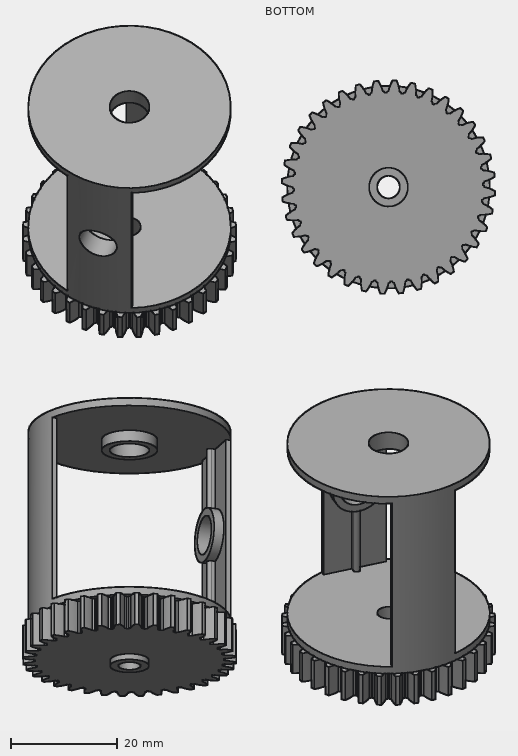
import math

import cadquery as cq

TOOTH_COUNT = 36
PITCH_DIAMETER = 38.1
PRESSURE_ANGLE = math.radians(20)
DEDENDUM_FACTOR = 1.25
ROOT_FILLET = 0.38
FIRST_TOOTH_ANGLE = math.radians(3.3)
GEAR_THICKNESS = 6.35
FLANK_POINTS = 5

MODULE = PITCH_DIAMETER / TOOTH_COUNT
PITCH_RADIUS = PITCH_DIAMETER / 2
BASE_RADIUS = PITCH_RADIUS * math.cos(PRESSURE_ANGLE)
TIP_RADIUS = PITCH_RADIUS + MODULE
ROOT_RADIUS = PITCH_RADIUS - DEDENDUM_FACTOR * MODULE

FLANK_START_RADIUS = math.hypot(
    BASE_RADIUS,
    math.sqrt((ROOT_RADIUS + ROOT_FILLET) ** 2 - BASE_RADIUS**2) - ROOT_FILLET,
)

SPIGOT_DIAMETER = 7.3
SPIGOT_LENGTH = 1.12
SHAFT_BORE_DIAMETER = 4.2

PLATE_DIAMETER = 38.12
PLATE_THICKNESS = 1.55
OVERALL_HEIGHT = 46.77
POST_WIDTH = 12.7
POST_INNER_Y = 17.0

RIB_WIDTH = 1.3
RIB_TIP_Y = 15.55

BOSS_DIAMETER = 10.45
BEARING_BORE_DIAMETER = 7.45
TOP_BOSS_HEIGHT = 2.15
SIDE_BOSS_INNER_Y = 15.05
SIDE_BORE_DEPTH_BELOW_TOP = 18.75

GEAR_BOTTOM_Z = SPIGOT_LENGTH
CAGE_BOTTOM_Z = GEAR_BOTTOM_Z + GEAR_THICKNESS
TOP_PLATE_Z = OVERALL_HEIGHT - PLATE_THICKNESS
SIDE_BORE_Z = OVERALL_HEIGHT - SIDE_BORE_DEPTH_BELOW_TOP


def cylinder(diameter, bottom_z, height):
    """Upright cylinder on the central axis."""
    return cq.Workplane("XY").workplane(offset=bottom_z).circle(diameter / 2).extrude(height)


def polar(radius, angle):
    return (radius * math.cos(angle), radius * math.sin(angle))


def half_tooth_angle(radius):
    """Angle from the tooth centre line to its involute flank at a radius."""
    roll_angle = math.acos(BASE_RADIUS / radius)
    flank_shift = math.tan(roll_angle) - roll_angle
    pitch_shift = math.tan(PRESSURE_ANGLE) - PRESSURE_ANGLE
    return math.pi / (2 * TOOTH_COUNT) + pitch_shift - flank_shift


def make_gear():
    tooth_pitch = 2 * math.pi / TOOTH_COUNT
    flank_step = (TIP_RADIUS - FLANK_START_RADIUS) / (FLANK_POINTS - 1)
    flank = [FLANK_START_RADIUS + i * flank_step for i in range(FLANK_POINTS)]

    flank_start_slope = math.acos(BASE_RADIUS / FLANK_START_RADIUS)
    fillet_centre_shift = math.atan2(
        ROOT_FILLET * math.cos(flank_start_slope),
        FLANK_START_RADIUS + ROOT_FILLET * math.sin(flank_start_slope),
    )
    land_start = half_tooth_angle(FLANK_START_RADIUS) + fillet_centre_shift

    outline = cq.Workplane("XY").workplane(offset=GEAR_BOTTOM_Z)
    outline = outline.moveTo(*polar(ROOT_RADIUS, FIRST_TOOTH_ANGLE - land_start))
    for i in range(TOOTH_COUNT):
        centre = FIRST_TOOTH_ANGLE + i * tooth_pitch
        rising = [polar(r, centre - half_tooth_angle(r)) for r in flank]
        falling = [polar(r, centre + half_tooth_angle(r)) for r in reversed(flank)]
        outline = outline.radiusArc(rising[0], -ROOT_FILLET)
        outline = outline.spline(rising[1:], includeCurrent=True)
        outline = outline.threePointArc(polar(TIP_RADIUS, centre), falling[0])
        outline = outline.spline(falling[1:], includeCurrent=True)
        outline = outline.radiusArc(polar(ROOT_RADIUS, centre + land_start), -ROOT_FILLET)
        outline = outline.threePointArc(
            polar(ROOT_RADIUS, centre + tooth_pitch / 2),
            polar(ROOT_RADIUS, centre + tooth_pitch - land_start),
        )
    return outline.close().extrude(GEAR_THICKNESS)


def make_post(side):
    """Post and its rib; side is -1 for the front and +1 for the back."""
    post_height = OVERALL_HEIGHT - CAGE_BOTTOM_Z
    post_depth = PLATE_DIAMETER / 2 - POST_INNER_Y
    base = cq.Workplane("XY").workplane(offset=CAGE_BOTTOM_Z)
    bar = base.center(0, side * (POST_INNER_Y + post_depth / 2)).rect(POST_WIDTH, post_depth)
    post = bar.extrude(post_height).intersect(cylinder(PLATE_DIAMETER, CAGE_BOTTOM_Z, post_height))

    rib_half_width = RIB_WIDTH / 2
    round_start_y = side * (RIB_TIP_Y + rib_half_width)
    rib_root_y = side * (POST_INNER_Y + post_depth / 2)
    rib = (
        cq.Workplane("XY")
        .workplane(offset=CAGE_BOTTOM_Z)
        .moveTo(-rib_half_width, rib_root_y)
        .lineTo(-rib_half_width, round_start_y)
        .threePointArc((0, side * RIB_TIP_Y), (rib_half_width, round_start_y))
        .lineTo(rib_half_width, rib_root_y)
        .close()
        .extrude(post_height)
    )
    return post.union(rib)


def front_cylinder(diameter, inner_y, outer_y):
    """Cylinder along Y at the side bore, on the front side of the part."""
    plane = cq.Workplane("XZ", origin=(0, -inner_y, SIDE_BORE_Z))
    return plane.circle(diameter / 2).extrude(outer_y - inner_y)


def make_body():
    lower_plate = cylinder(PLATE_DIAMETER, CAGE_BOTTOM_Z, PLATE_THICKNESS)
    top_plate = cylinder(PLATE_DIAMETER, TOP_PLATE_Z, PLATE_THICKNESS)
    spigot = cylinder(SPIGOT_DIAMETER, 0, SPIGOT_LENGTH)
    top_boss = cylinder(BOSS_DIAMETER, TOP_PLATE_Z - TOP_BOSS_HEIGHT, TOP_BOSS_HEIGHT)
    side_boss = front_cylinder(BOSS_DIAMETER, SIDE_BOSS_INNER_Y, POST_INNER_Y)

    body = make_gear().union(lower_plate).union(spigot)
    body = body.union(make_post(-1)).union(make_post(1))
    return body.union(top_plate).union(top_boss).union(side_boss)


def cut_bores(body):
    shaft_bore = cylinder(SHAFT_BORE_DIAMETER, 0, CAGE_BOTTOM_Z + PLATE_THICKNESS)
    top_bore = cylinder(
        BEARING_BORE_DIAMETER, TOP_PLATE_Z - TOP_BOSS_HEIGHT, TOP_BOSS_HEIGHT + PLATE_THICKNESS
    )
    side_bore = front_cylinder(BEARING_BORE_DIAMETER, SIDE_BOSS_INNER_Y, PLATE_DIAMETER / 2)
    return body.cut(shaft_bore).cut(top_bore).cut(side_bore)


result = cut_bores(make_body())